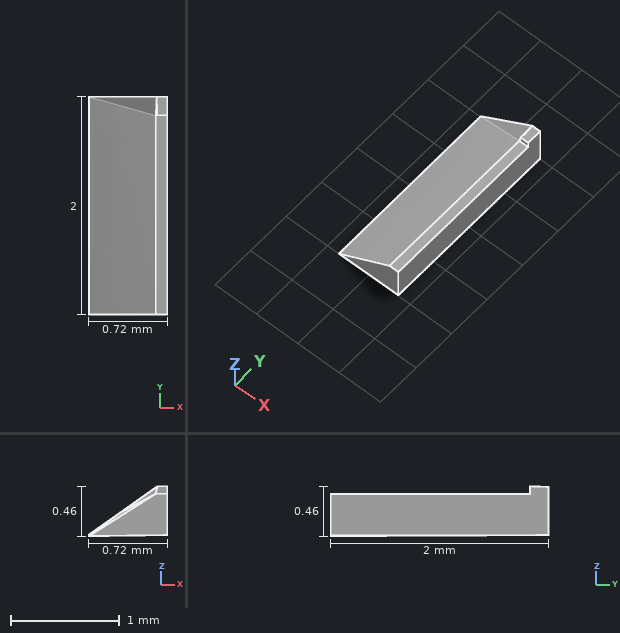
import cadquery as cq

width = 0.72
length = 2.0
height = 0.46

ledge_x = 0.615
ledge_z = 0.39
cap_length = 0.172
cap_back_x = 0.622
cap_front_x = 0.63
cap_drop = 0.005
toe_rise = 0.015
heel_rise = 0.01

crown_front_y = 0.668
crown_back_y = 1.338
crown_profile = [(0.21, 0.158), (0.422, 0.292)]

cap_y = length - cap_length
cap_back_z = height - cap_drop

toe_front = (0, 0, 0)
toe_back = (0, length, toe_rise)
heel_front = (width, 0, heel_rise)
heel_back = (width, length, heel_rise)
ledge_front = (ledge_x, 0, ledge_z)
ledge_back = (ledge_x, cap_y, ledge_z)
rim_front = (width, 0, ledge_z)
rim_back = (width, cap_y, ledge_z)
cap_front = (cap_front_x, cap_y, height)
cap_rim_front = (width, cap_y, height)
cap_back = (cap_back_x, length, cap_back_z)
cap_rim_back = (width, length, cap_back_z)


def flat_face(*corners):
    points = [cq.Vector(*corner) for corner in corners]
    return cq.Face.makeFromWires(cq.Wire.makePolygon(points, close=True))


def straight_edge(start, end):
    return cq.Edge.makeLine(cq.Vector(*start), cq.Vector(*end))


def twisted_face(start_a, end_a, start_b, end_b):
    """Return the ruled face between two straight edges."""
    return cq.Face.makeRuledSurface(straight_edge(start_a, end_a), straight_edge(start_b, end_b))


def bulged_ramp():
    """Return one smooth face that bulges through the crown points."""
    corners = [toe_front, ledge_front, ledge_back, toe_back]
    edges = [straight_edge(start, end) for start, end in zip(corners, corners[1:] + corners[:1])]
    crown = [cq.Vector(x, y, z) for x, z in crown_profile for y in (crown_front_y, crown_back_y)]
    return cq.Face.makeNSidedSurface(edges, crown)


faces = [
    bulged_ramp(),
    flat_face(toe_back, ledge_back, cap_back),
    flat_face(ledge_back, cap_front, cap_back),
    flat_face(ledge_front, rim_front, rim_back, ledge_back),
    flat_face(ledge_back, rim_back, cap_rim_front, cap_front),
    flat_face(cap_front, cap_rim_front, cap_rim_back, cap_back),
    flat_face(toe_front, heel_front, rim_front, ledge_front),
    flat_face(toe_back, cap_back, cap_rim_back, heel_back),
    flat_face(heel_front, heel_back, cap_rim_back, cap_rim_front, rim_back, rim_front),
    twisted_face(toe_front, toe_back, heel_front, heel_back),
]

result = cq.Workplane(cq.Solid.makeSolid(cq.Shell.makeShell(faces)))